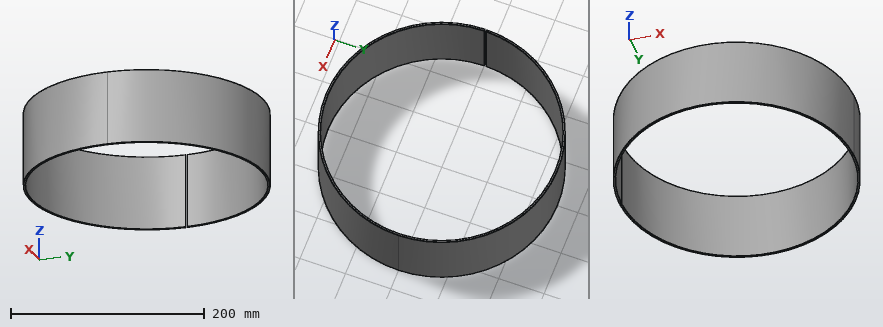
import cadquery as cq

outer_diameter = 255.0
height = 80.0
wall = 2.5

edge_break = 0.5

slit_width = 2.0

outer_radius = outer_diameter / 2
inner_radius = outer_radius - wall


def make_band():
    """Thin cylindrical wall on the Z axis, with every rim edge chamfered."""
    wall_ring = cq.Workplane("XY").circle(outer_radius).circle(inner_radius).extrude(height)
    return wall_ring.faces("|Z").edges("%CIRCLE").chamfer(edge_break)


def make_slit():
    """Full-height cutter that opens the wall on the -X side only."""
    return (
        cq.Workplane("XY")
        .center(-outer_radius, slit_width / 2)
        .rect(4 * wall, slit_width)
        .extrude(height)
    )


result = make_band().cut(make_slit())